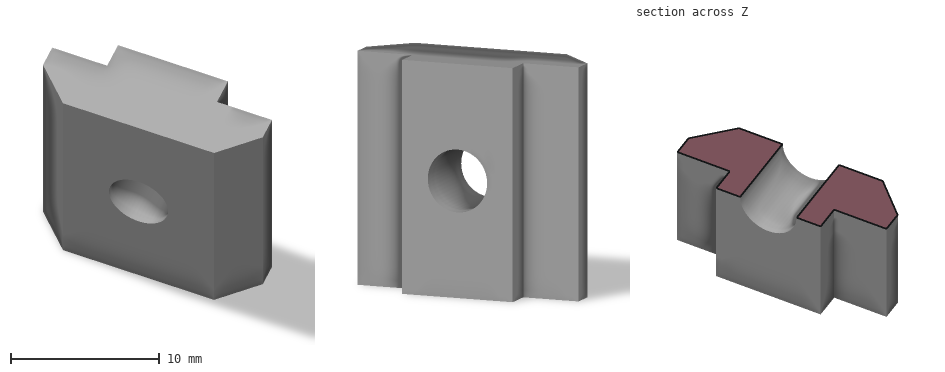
import cadquery as cq

width = 16.0
depth = 6.0
height = 16.0

tongue_width = 8.0
tongue_depth = 1.9

bevel = 2.5

hole_diameter = 4.3

front_y = -depth / 2
back_y = depth / 2
shoulder_y = back_y - tongue_depth


def make_body():
    """Slot-nut profile in the XY plane, extruded along Z and centred."""
    right_half = [
        (width / 2 - bevel, front_y),
        (width / 2, front_y + bevel),
        (width / 2, shoulder_y),
        (tongue_width / 2, shoulder_y),
        (tongue_width / 2, back_y),
    ]
    left_half = [(-x, y) for x, y in reversed(right_half)]
    profile = cq.Workplane("XY").polyline(right_half + left_half).close()
    return profile.extrude(height / 2, both=True)


def make_hole():
    """Cylinder through the full depth at the middle of the front face."""
    return cq.Workplane("XZ").circle(hole_diameter / 2).extrude(depth / 2, both=True)


result = make_body().cut(make_hole())